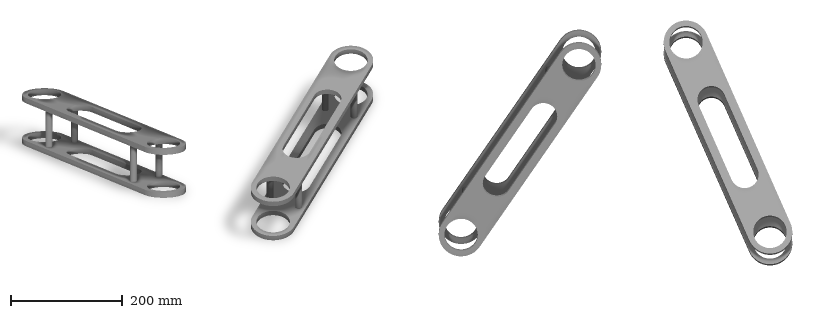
import cadquery as cq

length = 460.0
width = 80.0
height = 90.0

plate_thickness = 10.0
end_hole_diameter = 60.0
end_hole_spacing = length - width
slot_length = 200.0
slot_width = 50.0

pin_diameter = 12.0
pin_spacing_x = 270.0
pin_spacing_y = 55.0


def make_plate(bottom_z):
    """Round-ended plate with a hole at each end and a central slot."""
    return (
        cq.Workplane("XY")
        .workplane(offset=bottom_z)
        .slot2D(length, width)
        .extrude(plate_thickness)
        .faces(">Z")
        .workplane(origin=(0, 0, 0))
        .rarray(end_hole_spacing, 4.5, 2, 1)
        .hole(end_hole_diameter)
        .faces(">Z")
        .workplane(origin=(0, 0, 0))
        .slot2D(slot_length, slot_width)
        .cutThruAll()
    )


def make_pins():
    """Four pins that run from the bottom plate up to the top plate."""
    return (
        cq.Workplane("XY")
        .workplane(offset=plate_thickness)
        .rarray(pin_spacing_x, pin_spacing_y, 2, 2)
        .circle(pin_diameter / 2)
        .extrude(height - 2 * plate_thickness)
    )


bottom_plate = make_plate(0)
top_plate = make_plate(height - plate_thickness)
result = bottom_plate.union(make_pins()).union(top_plate)